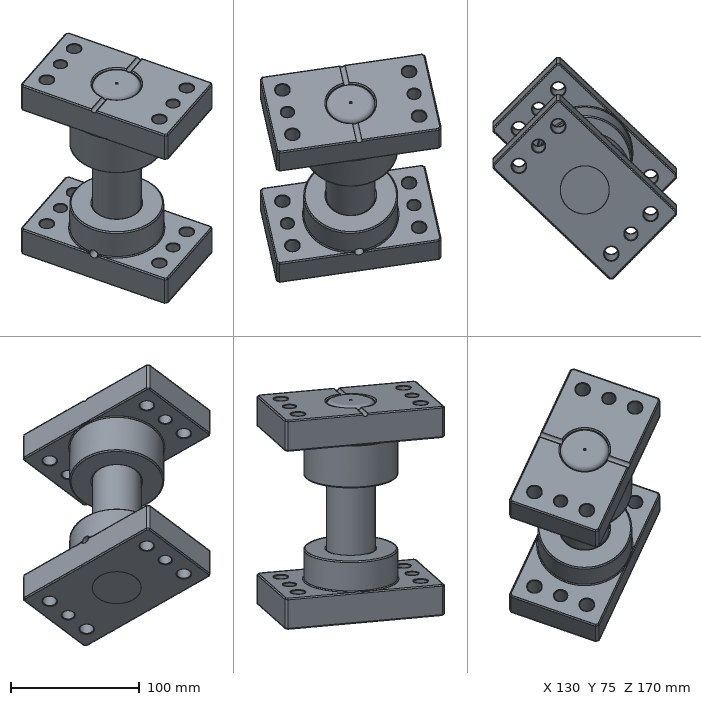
import cadquery as cq

TOTAL_HEIGHT = 170.0
PIN_PROTRUSION = 0.7

PLATE_LENGTH = 130.0
PLATE_WIDTH = 75.0
PLATE_THICKNESS = 25.2
PLATE_CORNER_CHAMFER = 2.0
PLATE_EDGE_CHAMFER = 1.0

BOSS_DIAMETER = 73.1
LOWER_BOSS_HEIGHT = 24.8
UPPER_BOSS_HEIGHT = 35.0
BOSS_EDGE_CHAMFER = 1.0
BOSS_ROOT_CHAMFER = 0.8

PIN_DIAMETER = 38.0
PIN_TOP_FILLET = 4.0
CENTRE_HOLE_DIAMETER = 1.7
CENTRE_HOLE_DEPTH = 3.4
BORE_CHAMFER = 1.0

HOLE_COLUMN_X = 50.0
BOLT_HOLE_Y = 22.0
BOLT_HOLE_DIAMETER = 11.0
DOWEL_HOLE_DIAMETER = 10.0
HOLE_CHAMFER = 0.5

GROOVE_RADIUS = 2.2
SIDE_HOLE_DIAMETER = 7.0

UPPER_PLATE_TOP = TOTAL_HEIGHT - PIN_PROTRUSION
FIXING_HOLES = [
    (-BOLT_HOLE_Y, BOLT_HOLE_DIAMETER),
    (0, DOWEL_HOLE_DIAMETER),
    (BOLT_HOLE_Y, BOLT_HOLE_DIAMETER),
]


def make_plate():
    """Chamfered plate standing on Z = 0."""
    return (
        cq.Workplane("XY")
        .box(PLATE_LENGTH, PLATE_WIDTH, PLATE_THICKNESS, centered=(True, True, False))
        .edges("|Z").chamfer(PLATE_CORNER_CHAMFER)
        .faces("<Z or >Z").edges().chamfer(PLATE_EDGE_CHAMFER)
    )


def make_boss(height):
    """Round boss on the plate's top face, flared at its root and chamfered at its free end."""
    radius = BOSS_DIAMETER / 2
    root_z = PLATE_THICKNESS
    end_z = root_z + height
    return (
        cq.Workplane("XZ")
        .moveTo(0, root_z)
        .lineTo(radius + BOSS_ROOT_CHAMFER, root_z)
        .lineTo(radius, root_z + BOSS_ROOT_CHAMFER)
        .lineTo(radius, end_z - BOSS_EDGE_CHAMFER)
        .lineTo(radius - BOSS_EDGE_CHAMFER, end_z)
        .lineTo(0, end_z)
        .close()
        .revolve(360, (0, 0, 0), (0, 1, 0))
    )


def chamfered_hole_cutter(diameter, length, start_chamfer, end_chamfer):
    """Tool along Z from 0 to length, widened by a chamfer at its ends; a zero start is plain."""
    radius = diameter / 2
    outline = cq.Workplane("XZ").lineTo(radius + start_chamfer, 0)
    if start_chamfer:
        outline = outline.lineTo(radius, start_chamfer)
    return (
        outline
        .lineTo(radius, length - end_chamfer)
        .lineTo(radius + end_chamfer, length)
        .lineTo(0, length)
        .close()
        .revolve(360, (0, 0, 0), (0, 1, 0))
    )


def make_flange(boss_height, plate_face_chamfer):
    """Plate with its boss, pin bore and fixing holes; the boss points up from the plate."""
    flange = make_plate().union(make_boss(boss_height))
    bore = chamfered_hole_cutter(
        PIN_DIAMETER, PLATE_THICKNESS + boss_height, plate_face_chamfer, BORE_CHAMFER
    )
    flange = flange.cut(bore)
    for x in (-HOLE_COLUMN_X, HOLE_COLUMN_X):
        for y, diameter in FIXING_HOLES:
            hole = chamfered_hole_cutter(diameter, PLATE_THICKNESS, HOLE_CHAMFER, HOLE_CHAMFER)
            flange = flange.cut(hole.translate((x, y, 0)))
    return flange


def make_lower_flange():
    """Flange with a side hole that runs from the -Y side to the pin bore."""
    side_hole = (
        cq.Workplane("XZ")
        .center(0, PLATE_THICKNESS)
        .circle(SIDE_HOLE_DIAMETER / 2)
        .extrude(PLATE_WIDTH / 2)
    )
    return make_flange(LOWER_BOSS_HEIGHT, plate_face_chamfer=0).cut(side_hole)


def make_upper_flange():
    """Flange turned boss-down, with a half-round groove across its top face."""
    groove = (
        cq.Workplane("XZ")
        .moveTo(-GROOVE_RADIUS, UPPER_PLATE_TOP)
        .threePointArc((0, UPPER_PLATE_TOP - GROOVE_RADIUS), (GROOVE_RADIUS, UPPER_PLATE_TOP))
        .close()
        .extrude(PLATE_WIDTH / 2, both=True)
    )
    return (
        make_flange(UPPER_BOSS_HEIGHT, plate_face_chamfer=BORE_CHAMFER)
        .rotate((0, 0, 0), (1, 0, 0), 180)
        .translate((0, 0, UPPER_PLATE_TOP))
        .cut(groove)
    )


def make_pin():
    """Pin through both flanges, with a rounded top end and a small centre hole."""
    return (
        cq.Workplane("XY")
        .circle(PIN_DIAMETER / 2)
        .extrude(TOTAL_HEIGHT)
        .faces(">Z").edges().fillet(PIN_TOP_FILLET)
        .faces(">Z").workplane()
        .hole(CENTRE_HOLE_DIAMETER, CENTRE_HOLE_DEPTH)
    )


lower_flange = make_lower_flange()
upper_flange = make_upper_flange()
pin = make_pin()

result = cq.Compound.makeCompound([lower_flange.val(), upper_flange.val(), pin.val()])